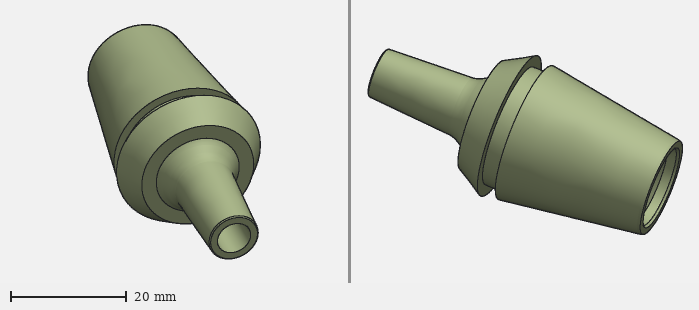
import cadquery as cq

total_length = 54.0
end_chamfer = 0.5
taper_end = 25.85
collar_start = 29.0
collar_end = 34.1
fillet_end = 38.05
tip_chamfer = 0.2

mouth_face_radius = 8.7
mouth_radius = 8.85
taper_radius = 12.55
groove_radius = 11.0
collar_radius = 13.1
shoulder_radius = 10.2
neck_root_radius = 7.55
neck_radius = 5.35
tip_radius = 4.5

root_end = 35.0
root_end_radius = 6.75
root_sag = 0.045
cone_end = 36.25
cone_end_radius = 6.0

mouth_chamfer = 0.25
mouth_chamfer_depth = 0.5
counterbore_radius = 7.2
counterbore_depth = 2.2
funnel_end = 4.6
hole_radius = 3.0


def make_body():
    """Revolve the outer profile about the X axis."""
    profile = (
        cq.Workplane("XY")
        .moveTo(0, 0)
        .lineTo(0, mouth_face_radius)
        .lineTo(end_chamfer, mouth_radius)
        .lineTo(taper_end, taper_radius)
        .lineTo(taper_end, groove_radius)
        .lineTo(collar_start, groove_radius)
        .lineTo(collar_start, collar_radius)
        .lineTo(collar_end, shoulder_radius)
        .lineTo(collar_end, neck_root_radius)
        .sagittaArc((root_end, root_end_radius), -root_sag)
        .lineTo(cone_end, cone_end_radius)
        .tangentArcPoint((fillet_end, neck_radius), relative=False)
        .lineTo(total_length - tip_chamfer, tip_radius)
        .lineTo(total_length, tip_radius - tip_chamfer)
        .lineTo(total_length, 0)
        .close()
    )
    return profile.revolve(360, (0, 0, 0), (1, 0, 0))


def make_bore():
    """Revolve the material removed along the axis."""
    profile = (
        cq.Workplane("XY")
        .moveTo(0, 0)
        .lineTo(0, counterbore_radius + mouth_chamfer)
        .lineTo(mouth_chamfer_depth, counterbore_radius)
        .lineTo(counterbore_depth, counterbore_radius)
        .lineTo(funnel_end, hole_radius)
        .lineTo(total_length, hole_radius)
        .lineTo(total_length, 0)
        .close()
    )
    return profile.revolve(360, (0, 0, 0), (1, 0, 0))


result = make_body().cut(make_bore())